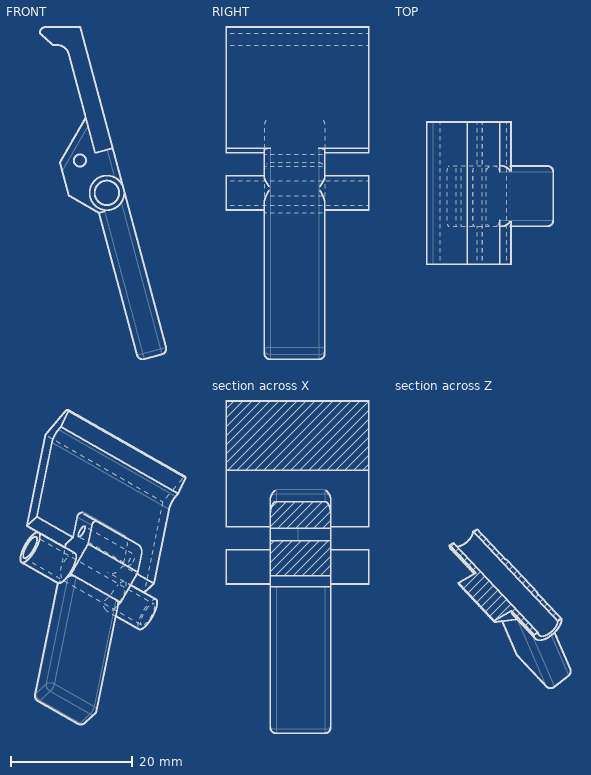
import cadquery as cq
import math

tilt = math.radians(15)
total_width = 23.5
lever_width = 10.0
lever_offset_y = -0.5
edge_radius = 1.0

tube_diameter = 5.7
bore_diameter = 4.0
back = tube_diameter / 2

plate_thickness = 3.0
plate_bottom = 6.85
plate_front = back - plate_thickness
plate_top = 27.35
hook_tip_x = -11.1
hook_thickness = 3.0
hook_bevel_length = 2.2
tip_radius = 1.05
throat_radius = 2.0

handle_thickness = 5.0
handle_front = back - handle_thickness
handle_bottom = -28.05
handle_top = 8.2

head_front = -6.2
head_low = 1.2
head_high = 6.85
pin_hole_diameter = 2.0
pin_hole_across = -2.9
pin_hole_along = 6.3

tilted = cq.Plane(
    origin=(0, 0, 0),
    xDir=(math.cos(tilt), 0, math.sin(tilt)),
    normal=(0, -1, 0),
)


def to_xz(across, along):
    """Convert a point of the tilted frame to X and Z."""
    x = across * math.cos(tilt) - along * math.sin(tilt)
    z = across * math.sin(tilt) + along * math.cos(tilt)
    return x, z


def x_at_height(across, z):
    """X where a line parallel to the lever reaches height z."""
    return (across - z * math.sin(tilt)) / math.cos(tilt)


def make_plate():
    """Full-width plate whose top ends in a forward hook."""
    hook_bottom = plate_top - hook_thickness
    tip_z = plate_top - tip_radius
    tip_inset = tip_radius * (1 - math.sqrt(0.5))
    tip_middle = (hook_tip_x + tip_inset, plate_top - tip_inset)
    throat_x = x_at_height(plate_front, hook_bottom)

    turn = math.pi / 2 - tilt
    tangent_length = throat_radius * math.tan(turn / 2)
    throat_start = (throat_x - tangent_length, hook_bottom)
    throat_end = (
        throat_x + tangent_length * math.sin(tilt),
        hook_bottom - tangent_length * math.cos(tilt),
    )
    return (
        cq.Workplane("XZ")
        .moveTo(hook_tip_x + tip_radius, plate_top)
        .lineTo(x_at_height(back, plate_top), plate_top)
        .lineTo(*to_xz(back, plate_bottom))
        .lineTo(*to_xz(plate_front, plate_bottom))
        .lineTo(*throat_end)
        .tangentArcPoint(throat_start, relative=False)
        .lineTo(hook_tip_x + hook_bevel_length, hook_bottom)
        .lineTo(hook_tip_x, tip_z)
        .threePointArc(tip_middle, (hook_tip_x + tip_radius, plate_top))
        .close()
        .extrude(total_width / 2, both=True)
    )


def make_handle():
    """Bar with rounded long edges and a rounded lower end."""
    length = handle_top - handle_bottom
    bar = (
        cq.Workplane(tilted)
        .center((back + handle_front) / 2, (handle_top + handle_bottom) / 2)
        .rect(handle_thickness, length)
        .extrude(lever_width / 2, both=True)
    )
    lower_end = cq.selectors.DirectionMinMaxSelector(tilted.yDir, False)
    long_edges = cq.selectors.ParallelDirSelector(tilted.yDir)
    rounded = bar.edges(long_edges).add(bar.faces(lower_end).edges())
    return rounded.fillet(edge_radius)


def make_head():
    """Sloped block that blends into the plate front, with rounded slope sides."""
    slope = math.radians(45)
    corner_along = head_high + plate_front - head_front
    blend_length = edge_radius * math.tan(slope / 2)
    blend_start = (
        plate_front - blend_length * math.sin(slope),
        corner_along - blend_length * math.cos(slope),
    )
    blend_end = (plate_front, corner_along + blend_length)
    inside = plate_front + plate_thickness / 2
    handle_meeting = head_low - (handle_front - head_front)
    block = (
        cq.Workplane(tilted)
        .moveTo(head_front, head_low)
        .lineTo(head_front, head_high)
        .lineTo(*blend_start)
        .tangentArcPoint(blend_end, relative=False)
        .lineTo(inside, blend_end[1])
        .lineTo(inside, handle_meeting)
        .lineTo(handle_front, handle_meeting)
        .close()
        .extrude(lever_width / 2, both=True)
    )
    middle = ((head_front + blend_start[0]) / 2, (head_high + blend_start[1]) / 2)
    for side in (-1, 1):
        edge_point = tilted.toWorldCoords((*middle, side * lever_width / 2))
        slope_edge = cq.selectors.NearestToPointSelector(edge_point.toTuple())
        block = block.edges(slope_edge).fillet(edge_radius)
    return block


def make_cylinder(diameter, across, along):
    """Cylinder along Y over the full width."""
    return (
        cq.Workplane(tilted)
        .center(across, along)
        .circle(diameter / 2)
        .extrude(total_width / 2, both=True)
    )


result = (
    make_plate()
    .union(make_handle().translate((0, lever_offset_y, 0)))
    .union(make_head().translate((0, lever_offset_y, 0)))
    .union(make_cylinder(tube_diameter, 0, 0))
    .cut(make_cylinder(bore_diameter, 0, 0))
    .cut(make_cylinder(pin_hole_diameter, pin_hole_across, pin_hole_along))
)